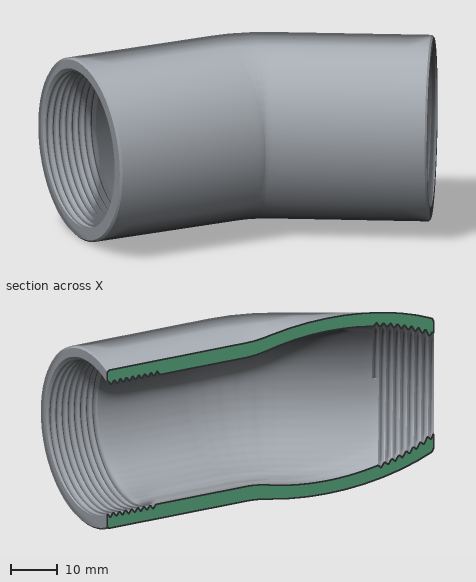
import cadquery as cq

outer_diameter = 40.0
bore_diameter = 33.95
leg_length = 34.6
bend_angle = 30.0
inner_bend_radius = 0.04
rim_chamfer = 0.4

thread_pitch = 1.5
thread_turns = 9
thread_depth = 0.8
groove_width = 1.3
thread_lead_in = 1.0
groove_overlap = 0.1

outer_radius = outer_diameter / 2
bore_radius = bore_diameter / 2
pivot_x = outer_radius + inner_bend_radius


def bend_sector(radius):
    """Disc of the given radius swept about the vertical pivot line."""
    return (
        cq.Workplane("XZ")
        .circle(radius)
        .revolve(bend_angle, (pivot_x, 0.85, 0), (pivot_x, -0.85, 0))
    )


def thread_groove():
    """Helical groove starting just outside the mouth at Z = 0 and climbing along +Z."""
    root_radius = bore_radius + thread_depth
    crest_radius = bore_radius - groove_overlap
    half_width = groove_width / 2 * (root_radius - crest_radius) / thread_depth
    helix = cq.Wire.makeHelix(thread_pitch, thread_pitch * thread_turns, bore_radius)
    groove = (
        cq.Workplane("XZ")
        .polyline([(crest_radius, -half_width), (root_radius, 0), (crest_radius, half_width)])
        .close()
        .sweep(cq.Workplane(obj=helix), isFrenet=True)
    )
    return groove.translate((0, 0, -thread_lead_in))


def straight_leg():
    """Threaded pipe leg along +Y, with its mouth at Y = -leg_length and its joint at Y = 0."""
    leg = (
        cq.Workplane("XY")
        .circle(outer_radius)
        .extrude(leg_length)
        .faces("<Z")
        .chamfer(rim_chamfer)
    )
    bore = cq.Workplane("XY").circle(bore_radius).extrude(leg_length)
    leg = leg.cut(bore).cut(thread_groove())
    return leg.rotate((0, 0, 0), (1, 0, 0), -90).translate((0, -leg_length, 0))


front_leg = straight_leg()

rear_leg = (
    front_leg
    .rotate((0, 0, 0), (0, 0, 1), 180)
    .rotate((pivot_x, 0, 0), (pivot_x, 0, 1), -bend_angle)
)

elbow = bend_sector(outer_radius).cut(bend_sector(bore_radius))
result = elbow.union(front_leg).union(rear_leg)